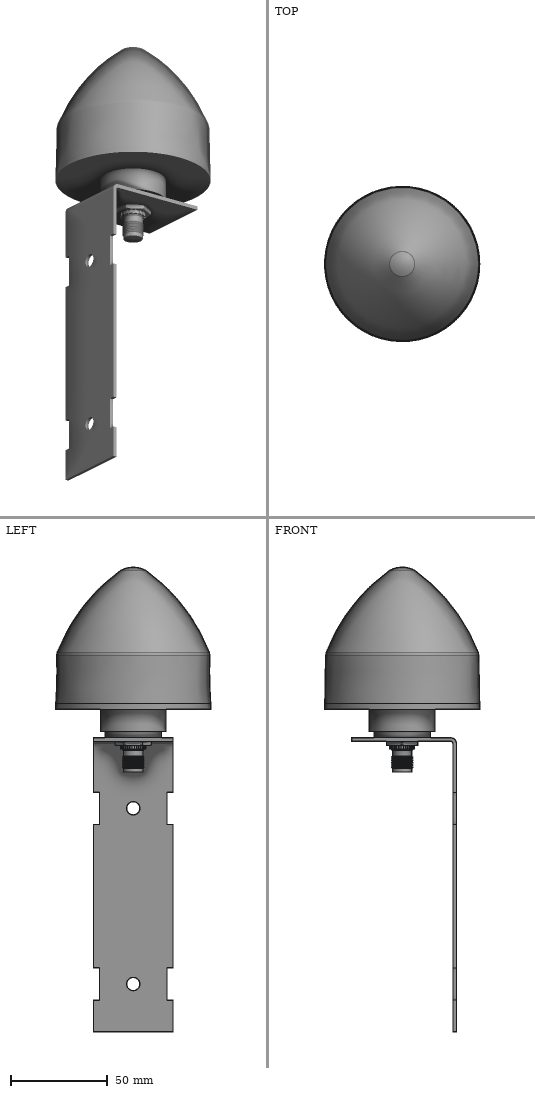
import cadquery as cq
import math


plate_thickness = 2.0
plate_width = 41.5
plate_front_x = -26.2
plate_back_x = 28.2
bracket_height = 152.3
bend_outer_radius = 3.1
bend_inner_radius = bend_outer_radius - plate_thickness
mount_depth = 36.5
mount_spacing = 91.0
mount_hole_diameter = 6.7
notch_height = 16.5
notch_depth = 3.1

gasket_height = 3.1
gasket_radius = 14.7

neck_radius = 17.0
neck_height = 11.5
rim_radius = 40.2
rim_height = 3.0
neck_bottom = gasket_height
rim_bottom = neck_bottom + neck_height

radome_bottom = rim_bottom + rim_height
wall_height = 25.0
shoulder_radius = 39.7
band_height = 1.5
nose_base_radius = 39.5
nose_middle_radius = 29.1
nose_middle_height = 19.5
nose_height = 42.5
tip_radius = 6.5
tip_rise = 1.7

shaft_radius = 5.0
thread_radius = 5.5
thread_pitch = 0.91
upper_thread_turns = 1
lower_thread_turns = 7
thread_gap = 3.0
plain_end = 2.0

nut_across_flats = 16.4
nut_thickness = 2.2
nut_chamfer = 0.7
nut_chamfer_angle = math.radians(30)
nut_top = -plate_thickness
nut_bottom = nut_top - nut_thickness

washer_thickness = 1.7
washer_radius = 6.5
washer_root_radius = 6.0
tooth_count = 16
tooth_gap_width = 1.2
washer_bottom = nut_bottom - washer_thickness


def make_bracket():
    """L-shaped plate with a bent corner, side notches and mounting holes."""
    outer_bend = bend_outer_radius * math.sqrt(0.5)
    inner_bend = bend_inner_radius * math.sqrt(0.5)
    bend_x = plate_back_x - bend_outer_radius
    bend_z = -bend_outer_radius
    body = (
        cq.Workplane("XZ")
        .moveTo(plate_front_x, 0)
        .lineTo(bend_x, 0)
        .threePointArc((bend_x + outer_bend, bend_z + outer_bend), (plate_back_x, bend_z))
        .lineTo(plate_back_x, -bracket_height)
        .lineTo(plate_back_x - plate_thickness, -bracket_height)
        .lineTo(plate_back_x - plate_thickness, bend_z)
        .threePointArc((bend_x + inner_bend, bend_z + inner_bend), (bend_x, -plate_thickness))
        .lineTo(plate_front_x, -plate_thickness)
        .close()
        .extrude(plate_width / 2, both=True)
    )
    leg_middle_x = plate_back_x - plate_thickness / 2
    cut_length = 2 * plate_thickness
    for mount_z in (-mount_depth, -mount_depth - mount_spacing):
        hole = (
            cq.Workplane("YZ", origin=(leg_middle_x, 0, mount_z))
            .circle(mount_hole_diameter / 2)
            .extrude(cut_length / 2, both=True)
        )
        notches = (
            cq.Workplane("XY", origin=(leg_middle_x, 0, mount_z))
            .pushPoints([(0, -plate_width / 2), (0, plate_width / 2)])
            .box(cut_length, 2 * notch_depth, notch_height)
        )
        body = body.cut(hole).cut(notches)
    shaft_hole = cq.Workplane("XY").circle(shaft_radius).extrude(-plate_thickness)
    return body.cut(shaft_hole)


def make_gasket():
    """Plain ring around the shaft."""
    return cq.Workplane("XY").circle(gasket_radius).circle(shaft_radius).extrude(gasket_height)


def make_base():
    """Neck with the wide rim above it."""
    neck = cq.Workplane("XY", origin=(0, 0, neck_bottom)).circle(neck_radius).extrude(neck_height)
    rim = cq.Workplane("XY", origin=(0, 0, rim_bottom)).circle(rim_radius).extrude(rim_height)
    return neck.union(rim)


def make_radome():
    """Revolved cover: tapered wall, narrow band, arched nose and rounded tip."""
    band_bottom = radome_bottom + wall_height
    nose_bottom = band_bottom + band_height
    nose_top = nose_bottom + nose_height
    tip_sphere_radius = (tip_radius**2 + tip_rise**2) / (2 * tip_rise)
    tip_top = nose_top + tip_rise
    tip_middle_angle = math.asin(tip_radius / tip_sphere_radius) / 2
    tip_middle = (
        tip_sphere_radius * math.sin(tip_middle_angle),
        tip_top - tip_sphere_radius * (1 - math.cos(tip_middle_angle)),
    )
    return (
        cq.Workplane("XZ")
        .moveTo(0, radome_bottom)
        .lineTo(rim_radius, radome_bottom)
        .lineTo(shoulder_radius, band_bottom)
        .lineTo(nose_base_radius, nose_bottom)
        .threePointArc((nose_middle_radius, nose_bottom + nose_middle_height), (tip_radius, nose_top))
        .threePointArc(tip_middle, (0, tip_top))
        .close()
        .revolve(360, (0, 0), (0, 1))
    )


def make_nut():
    """Hexagon nut with a corner pointing along Y and both ends chamfered."""
    corner_radius = nut_across_flats / math.sqrt(3)
    end_radius = corner_radius - nut_chamfer
    chamfer_height = nut_chamfer * math.tan(nut_chamfer_angle)
    hexagon = (
        cq.Workplane("XY", origin=(0, 0, nut_bottom))
        .transformed(rotate=(0, 0, 90))
        .polygon(6, 2 * corner_radius)
        .circle(shaft_radius)
        .extrude(nut_thickness)
    )
    envelope = (
        cq.Workplane("XZ")
        .moveTo(0, nut_bottom)
        .lineTo(end_radius, nut_bottom)
        .lineTo(corner_radius, nut_bottom + chamfer_height)
        .lineTo(corner_radius, nut_top - chamfer_height)
        .lineTo(end_radius, nut_top)
        .lineTo(0, nut_top)
        .close()
        .revolve(360, (0, 0), (0, 1))
    )
    return hexagon.intersect(envelope)


def make_washer():
    """Lock washer with square gaps between the teeth on its rim."""
    ring = (
        cq.Workplane("XY", origin=(0, 0, washer_bottom))
        .circle(washer_radius)
        .circle(shaft_radius)
        .extrude(washer_thickness)
    )
    gap_length = 2 * (washer_radius - washer_root_radius)
    tooth_angle = 360 / tooth_count
    gaps = (
        cq.Workplane("XY", origin=(0, 0, washer_bottom + washer_thickness / 2))
        .polarArray(washer_radius, tooth_angle / 2, 360, tooth_count)
        .box(gap_length, tooth_gap_width, washer_thickness)
    )
    return ring.cut(gaps)


def add_thread(profile, top, turns):
    """Continue the profile down through a row of V-shaped ridges."""
    for turn in range(turns):
        ridge_top = top - turn * thread_pitch
        profile = profile.lineTo(thread_radius, ridge_top - thread_pitch / 2)
        profile = profile.lineTo(shaft_radius, ridge_top - thread_pitch)
    return profile


def make_connector():
    """Shaft from the base down through gasket, bracket, nut and washer, ridged below them."""
    upper_thread_end = washer_bottom - upper_thread_turns * thread_pitch
    lower_thread_top = upper_thread_end - thread_gap
    connector_bottom = lower_thread_top - lower_thread_turns * thread_pitch - plain_end
    profile = (
        cq.Workplane("XZ")
        .moveTo(0, neck_bottom)
        .lineTo(shaft_radius, neck_bottom)
        .lineTo(shaft_radius, washer_bottom)
    )
    profile = add_thread(profile, washer_bottom, upper_thread_turns)
    profile = profile.lineTo(shaft_radius, lower_thread_top)
    profile = add_thread(profile, lower_thread_top, lower_thread_turns)
    profile = profile.lineTo(shaft_radius, connector_bottom).lineTo(0, connector_bottom).close()
    return profile.revolve(360, (0, 0), (0, 1))


bracket = make_bracket()
gasket = make_gasket()
base = make_base()
radome = make_radome()
nut = make_nut()
washer = make_washer()
connector = make_connector()

result = cq.Compound.makeCompound(
    [
        bracket.val(),
        gasket.val(),
        base.val(),
        radome.val(),
        nut.val(),
        washer.val(),
        connector.val(),
    ]
)